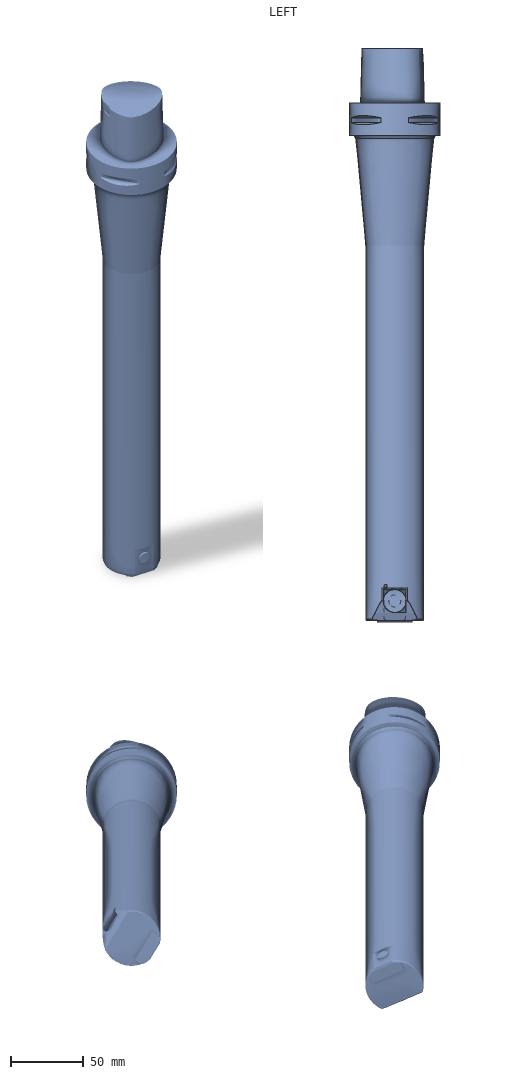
import cadquery as cq
import math

TOTAL_LENGTH = 398.0

COUPLING_LENGTH = 38.0
COUPLING_WIDTH = 44.0
LOBE_HEIGHT = 1.5
COUPLING_TAPER = 1 / 20
LOBE_ANGLES = (90, 210, 330)
LOBE_SPAN = 70
FLAT_SPAN = 360 / len(LOBE_ANGLES) - LOBE_SPAN
POINTS_PER_FACE = 6
KEYWAY_WIDTH = 8.0
KEYWAY_HEIGHT = 6.8
KEYWAY_DEPTH = 0.8

FLANGE_DIAMETER = 63.0
FLANGE_HEIGHT = 22.5
GROOVE_FLOOR_DISTANCE = 28.0
GROOVE_FLOOR_HEIGHT = 3.0
GROOVE_MOUTH_HEIGHT = 6.5
GROOVE_DROP = 12.0
GROOVE_COUNT = 4
FIRST_GROOVE_ANGLE = 45

NECK_DIAMETER = 56.5
CONE_DIAMETER = 54.0
NECK_HEIGHT = 2.0
CONE_HEIGHT = 74.5
SHAFT_DIAMETER = 40.0
SHAFT_BOTTOM = 1.0
BOTTOM_CHAMFER_HEIGHT = 1.0
BOTTOM_CHAMFER_WIDTH = 0.5

RELIEF_TOP_Z = 20.5
RELIEF_BREAK_X = -14.7
RELIEF_BREAK_Z = 6.5
RELIEF_END_X = -12.0

INSERT_DIAMETER = 16.0
INSERT_CENTRE_Z = 14.7
INSERT_FACE_X = -15.0
INSERT_THICKNESS = 3.0
CLEARANCE_WIDTH = 18.0
CLEARANCE_TOP_Z = 24.0
COOLANT_DIAMETER = 2.1
COOLANT_DEPTH = 4.0
COOLANT_Y = 6.5
COOLANT_Z = 25.0

SIDE_FLAT_X = 18.7
SIDE_FLAT_TOP_Z = 23.5
BOSS_DIAMETER = 8.5
LAND_INNER_X = 9.5
LAND_OUTER_X = 18.0
LAND_WIDTH = 24.0

SHAFT_RADIUS = SHAFT_DIAMETER / 2
FLANGE_RADIUS = FLANGE_DIAMETER / 2
FLANGE_TOP = TOTAL_LENGTH - COUPLING_LENGTH
FLANGE_BOTTOM = FLANGE_TOP - FLANGE_HEIGHT
CONE_TOP = FLANGE_BOTTOM - NECK_HEIGHT
CONE_BOTTOM = CONE_TOP - CONE_HEIGHT
RECESS_FLOOR_X = INSERT_FACE_X + INSERT_THICKNESS


def lobed_point(mean_radius, normal_angle):
    """Point of the constant-width outline whose outward normal has the given angle."""
    phase = len(LOBE_ANGLES) * (normal_angle - LOBE_ANGLES[0])
    reach = mean_radius + LOBE_HEIGHT * math.cos(math.radians(phase))
    slide = -len(LOBE_ANGLES) * LOBE_HEIGHT * math.sin(math.radians(phase))
    cos_a = math.cos(math.radians(normal_angle))
    sin_a = math.sin(math.radians(normal_angle))
    return reach * cos_a - slide * sin_a, reach * sin_a + slide * cos_a


def lobed_wire(width, z):
    """Closed outline of six curves: a lobe and the flatter side after it, three times."""
    outline = cq.Workplane("XY", origin=(0, 0, z))
    angle = LOBE_ANGLES[0] - LOBE_SPAN / 2
    outline = outline.moveTo(*lobed_point(width / 2, angle))
    for span in len(LOBE_ANGLES) * (LOBE_SPAN, FLAT_SPAN):
        angles = [angle + span * i / POINTS_PER_FACE for i in range(1, POINTS_PER_FACE + 1)]
        outline = outline.spline([lobed_point(width / 2, a) for a in angles], includeCurrent=True)
        angle += span
    return outline.close().val()


def make_coupling():
    top_width = COUPLING_WIDTH - COUPLING_TAPER * COUPLING_LENGTH
    lower = lobed_wire(COUPLING_WIDTH, FLANGE_TOP)
    upper = lobed_wire(top_width, TOTAL_LENGTH)
    coupling = cq.Workplane(cq.Solid.makeLoft([lower, upper], True))

    side_y = top_width / 2 - LOBE_HEIGHT
    keyway = cq.Workplane("XY", origin=(0, -side_y, TOTAL_LENGTH - KEYWAY_HEIGHT)).box(
        KEYWAY_WIDTH, 2 * KEYWAY_DEPTH, KEYWAY_HEIGHT, centered=(True, True, False)
    )
    return coupling.cut(keyway)


def make_turned_body():
    """Flange, neck, cone and shaft as one turned profile."""
    profile = [
        (0, SHAFT_BOTTOM),
        (SHAFT_RADIUS - BOTTOM_CHAMFER_WIDTH, SHAFT_BOTTOM),
        (SHAFT_RADIUS, SHAFT_BOTTOM + BOTTOM_CHAMFER_HEIGHT),
        (SHAFT_RADIUS, CONE_BOTTOM),
        (CONE_DIAMETER / 2, CONE_TOP),
        (NECK_DIAMETER / 2, FLANGE_BOTTOM),
        (FLANGE_RADIUS, FLANGE_BOTTOM),
        (FLANGE_RADIUS, FLANGE_TOP),
        (0, FLANGE_TOP),
    ]
    return cq.Workplane("XZ").polyline(profile).close().revolve(360, (0, 0), (0, 1))


def make_gripper_groove(angle):
    """Straight groove with sloping flanks, widest at the flange rim."""
    depth = FLANGE_RADIUS - GROOVE_FLOOR_DISTANCE
    centre_z = FLANGE_TOP - GROOVE_DROP
    half_floor = GROOVE_FLOOR_HEIGHT / 2
    half_mouth = GROOVE_MOUTH_HEIGHT / 2
    section = [
        (GROOVE_FLOOR_DISTANCE, centre_z - half_floor),
        (GROOVE_FLOOR_DISTANCE + depth, centre_z - half_mouth),
        (GROOVE_FLOOR_DISTANCE + depth, centre_z + half_mouth),
        (GROOVE_FLOOR_DISTANCE, centre_z + half_floor),
    ]
    groove = cq.Workplane("XZ").polyline(section).close().extrude(FLANGE_RADIUS, both=True)
    return groove.rotate((0, 0, 0), (0, 0, 1), angle)


def make_relief():
    """Material removed on the -X side by the two sloping flats."""
    outline = [
        (-SHAFT_RADIUS, RELIEF_TOP_Z),
        (RELIEF_BREAK_X, RELIEF_BREAK_Z),
        (RELIEF_END_X, SHAFT_BOTTOM),
        (-SHAFT_RADIUS, SHAFT_BOTTOM),
    ]
    return cq.Workplane("XZ").polyline(outline).close().extrude(SHAFT_RADIUS, both=True)


def make_insert_recess():
    """Square recess, open to -X, with its lower +Y corner rounded to fit the insert."""
    depth = SHAFT_RADIUS + RECESS_FLOOR_X
    half = INSERT_DIAMETER / 2
    diagonal = half * math.sqrt(0.5)
    return (
        cq.Workplane("YZ", origin=(-SHAFT_RADIUS, 0, INSERT_CENTRE_Z))
        .moveTo(half, 0)
        .lineTo(half, half)
        .lineTo(-half, half)
        .lineTo(-half, -half)
        .lineTo(0, -half)
        .threePointArc((diagonal, -diagonal), (half, 0))
        .close()
        .extrude(depth)
    )


def make_insert_clearance():
    """Step around the upper half of the insert, level with its face."""
    return cq.Workplane("XY", origin=(-SHAFT_RADIUS, 0, INSERT_CENTRE_Z)).box(
        SHAFT_RADIUS + INSERT_FACE_X,
        CLEARANCE_WIDTH,
        CLEARANCE_TOP_Z - INSERT_CENTRE_Z,
        centered=(False, True, False),
    )


def make_coolant_hole():
    return (
        cq.Workplane("YZ", origin=(-SHAFT_RADIUS, COOLANT_Y, COOLANT_Z))
        .circle(COOLANT_DIAMETER / 2)
        .extrude(COOLANT_DEPTH)
    )


def make_side_flat():
    """Material removed for the +X flat, leaving the round boss standing."""
    depth = SHAFT_RADIUS - SIDE_FLAT_X
    height = SIDE_FLAT_TOP_Z - SHAFT_BOTTOM
    slab = cq.Workplane("XY", origin=(SIDE_FLAT_X, 0, SHAFT_BOTTOM)).box(
        depth, SHAFT_DIAMETER, height, centered=(False, True, False)
    )
    boss = (
        cq.Workplane("YZ", origin=(SIDE_FLAT_X, 0, INSERT_CENTRE_Z))
        .circle(BOSS_DIAMETER / 2)
        .extrude(depth)
    )
    return slab.cut(boss)


def make_end_land():
    """Low land on the end face, kept inside the shaft outline."""
    land = cq.Workplane("XY", origin=(LAND_INNER_X, 0, 0)).box(
        LAND_OUTER_X - LAND_INNER_X, LAND_WIDTH, SHAFT_BOTTOM, centered=(False, True, False)
    )
    end_radius = SHAFT_RADIUS - BOTTOM_CHAMFER_WIDTH
    return land.intersect(cq.Workplane("XY").circle(end_radius).extrude(SHAFT_BOTTOM))


def make_holder():
    holder = make_turned_body().union(make_coupling())
    for i in range(GROOVE_COUNT):
        holder = holder.cut(make_gripper_groove(FIRST_GROOVE_ANGLE + i * 360 / GROOVE_COUNT))
    holder = holder.cut(make_relief())
    holder = holder.cut(make_insert_recess())
    holder = holder.cut(make_insert_clearance())
    holder = holder.cut(make_coolant_hole())
    holder = holder.cut(make_side_flat())
    return holder.union(make_end_land())


def make_insert():
    """Round disc lying on the recess floor and facing -X."""
    return (
        cq.Workplane("YZ", origin=(INSERT_FACE_X, 0, INSERT_CENTRE_Z))
        .circle(INSERT_DIAMETER / 2)
        .extrude(INSERT_THICKNESS)
    )


holder = make_holder()
insert = make_insert()
result = cq.Compound.makeCompound([holder.val(), insert.val()])